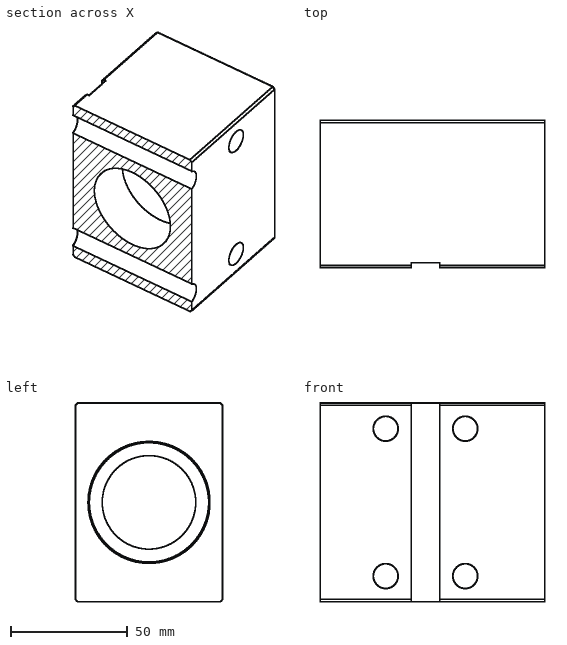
import cadquery as cq

LENGTH = 96.0
DEPTH = 63.0
HEIGHT = 85.0
EDGE_CHAMFER = 1.0

BORE_DIAMETER = 51.0
BORE_DEPTH = 40.0
BORE_CHAMFER = 0.6
CYLINDER_DIAMETER = 40.0
CYLINDER_DEPTH = 40.0

SLOT_WIDTH = 12.0
SLOT_DEPTH = 2.0
SLOT_CENTRE_FROM_BORE_FACE = 45.0

HOLE_DIAMETER = 10.5
HOLE_SPACING_X = 34.0
HOLE_SPACING_Z = 63.0

BORE_FACE_X = -LENGTH / 2
FRONT_FACE_Y = -DEPTH / 2
SLOT_CENTRE_X = BORE_FACE_X + SLOT_CENTRE_FROM_BORE_FACE


def make_block():
    """Rectangular block with its four long edges chamfered."""
    block = cq.Workplane("XY").box(LENGTH, DEPTH, HEIGHT)
    return block.edges("|X").chamfer(EDGE_CHAMFER)


def make_bore():
    """Bore, the narrower cylinder behind it and the entry chamfer as one revolved body about X."""
    bore_radius = BORE_DIAMETER / 2
    cylinder_radius = CYLINDER_DIAMETER / 2
    bore_floor_x = BORE_FACE_X + BORE_DEPTH
    cylinder_floor_x = bore_floor_x + CYLINDER_DEPTH
    half_section = [
        (BORE_FACE_X, 0),
        (BORE_FACE_X, bore_radius + BORE_CHAMFER),
        (BORE_FACE_X + BORE_CHAMFER, bore_radius),
        (bore_floor_x, bore_radius),
        (bore_floor_x, cylinder_radius),
        (cylinder_floor_x, cylinder_radius),
        (cylinder_floor_x, 0),
    ]
    profile = cq.Workplane("XY").polyline(half_section).close()
    return profile.revolve(360, (0, 0, 0), (1, 0, 0))


def make_slot():
    """Key slot, open at the top and bottom."""
    slot = cq.Workplane("XY").box(SLOT_WIDTH, SLOT_DEPTH, HEIGHT)
    return slot.translate((SLOT_CENTRE_X, FRONT_FACE_Y + SLOT_DEPTH / 2, 0))


def make_mounting_holes():
    """Four cylinders passing through the full depth of the block."""
    return (
        cq.Workplane("XZ", origin=(SLOT_CENTRE_X, 0, 0))
        .rarray(HOLE_SPACING_X, HOLE_SPACING_Z, 2, 2)
        .circle(HOLE_DIAMETER / 2)
        .extrude(DEPTH / 2, both=True)
    )


result = make_block().cut(make_bore()).cut(make_slot()).cut(make_mounting_holes())